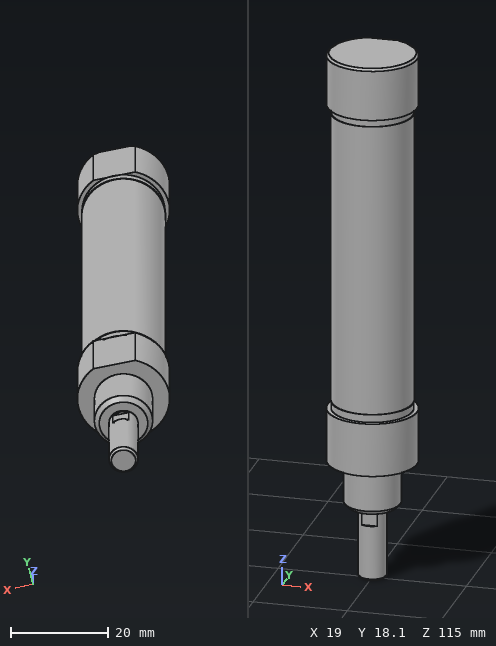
import cadquery as cq

total_length = 115.0

rod_diameter = 6.0
rod_chamfer = 0.5
rod_length = 15.5

flat_spacing = 5.0
flat_length = 3.0
flat_gap = 0.5

collar_diameter = 12.0
collar_length = 10.0
collar_chamfer = 1.0

cap_diameter = 19.0
front_cap_length = 11.5
rear_cap_length = 11.3
cap_flat_distance = 8.4
cap_chamfer = 0.5

tube_diameter = 17.2
neck_diameter = 17.0
neck_length = 1.7

collar_bottom = rod_length
front_cap_bottom = collar_bottom + collar_length
front_cap_top = front_cap_bottom + front_cap_length
rear_cap_bottom = total_length - rear_cap_length


def cylinder(diameter, bottom, top):
    return cq.Workplane("XY").workplane(offset=bottom).circle(diameter / 2).extrude(top - bottom)


def piston_rod():
    rod = cylinder(rod_diameter, 0, rod_length).faces("<Z").chamfer(rod_chamfer)
    flat_top = rod_length - flat_gap
    flat_zone = cylinder(rod_diameter, flat_top - flat_length, flat_top)
    across_flats = cq.Workplane("XY").box(rod_diameter, flat_spacing, total_length)
    return rod.cut(flat_zone.cut(across_flats))


def collar():
    return cylinder(collar_diameter, collar_bottom, front_cap_bottom).faces("<Z").chamfer(collar_chamfer)


def with_cap_flat(cap):
    """Trim a cap to the flat on its +Y side."""
    trim = (
        cq.Workplane("XY")
        .box(cap_diameter, cap_diameter, total_length, centered=(True, False, False))
        .translate((0, cap_flat_distance, 0))
    )
    return cap.cut(trim)


def front_cap():
    return with_cap_flat(cylinder(cap_diameter, front_cap_bottom, front_cap_top))


def rear_cap():
    cap = cylinder(cap_diameter, rear_cap_bottom, total_length)
    cap = cap.faces(">Z").chamfer(cap_chamfer)
    return with_cap_flat(cap)


def tube():
    necks = cylinder(neck_diameter, front_cap_top, rear_cap_bottom)
    body = cylinder(tube_diameter, front_cap_top + neck_length, rear_cap_bottom - neck_length)
    return necks.union(body)


result = piston_rod().union(collar()).union(front_cap()).union(tube()).union(rear_cap())